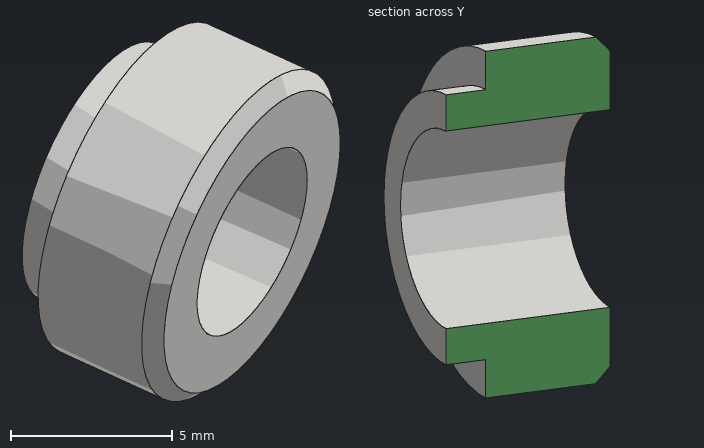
import cadquery as cq

body_diameter = 11.18
spigot_diameter = 8.71
bore_diameter = 6.35
total_length = 5.69
spigot_length = 1.38
chamfer_size = 0.5

body_length = total_length - spigot_length

spigot = cq.Workplane("YZ").circle(spigot_diameter / 2).extrude(spigot_length)

body = (
    cq.Workplane("YZ", origin=(spigot_length, 0, 0))
    .circle(body_diameter / 2)
    .extrude(body_length)
    .faces(">X")
    .edges()
    .chamfer(chamfer_size)
)

bore = cq.Workplane("YZ").circle(bore_diameter / 2).extrude(total_length)

result = spigot.union(body).cut(bore)